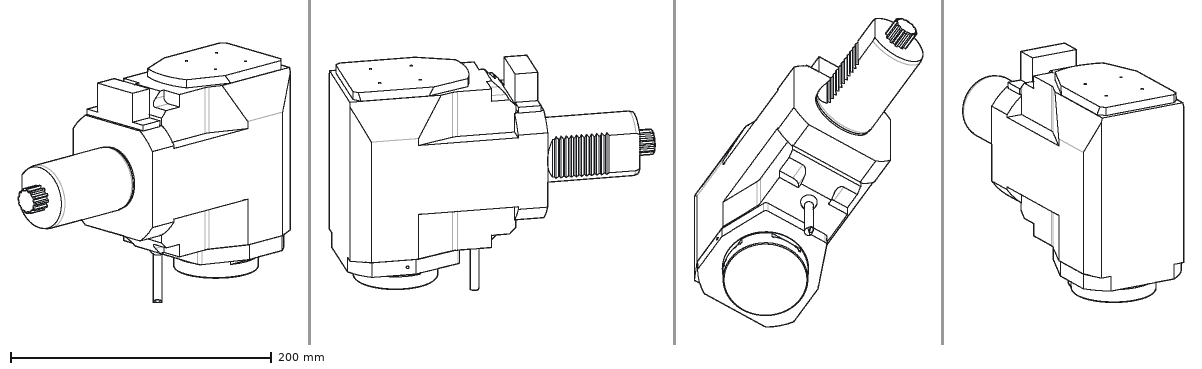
import cadquery as cq
import math


OVERLAP = 1.0

HALF_WIDTH = 44.0
BODY_BACK = 154.25
BODY_HALF_HEIGHT = 65.0
BACK_CHAMFER_X = 7.2
BACK_CHAMFER_Y = 15.2

FLANK_START_Z = 34.0
FLANK_TOP_Z = 71.5
FLANK_TOP_X = 34.2

FLANGE_THICKNESS = 22.3
FLANGE_ROUND_RADIUS = 53.5

RELIEF_X = 31.0
RELIEF_Z = 28.3
RELIEF_CORNER_Y = 70.4
RELIEF_CORNER_RADIUS = 10.0
TAPER_ANGLE = math.radians(22.5)

BEVEL = 15.0
NOTCH_X = 13.7
NOTCH_Z = 55.0
NOTCH_BACK = 41.4
NOTCH_RADIUS = 5.0

PLATE_TOP_Z = FLANK_TOP_Z
PLATE_BACK = 150.5
PLATE_SIDE_INSET = 0.4
PLATE_CORNER = 3.5
PLATE_FRONT_RADIUS = 56.5
PLATE_FRONT_X = 21.6
PLATE_HOLE_DIAMETER = 1.7
PLATE_HOLE_PITCH = 32.0
SMALL_HOLE_DEPTH = 5.0

KEY_FRONT = 2.4
KEY_LENGTH = 18.0
KEY_BASE_X = 31.0
KEY_BASE_Z = 48.3
KEY_X = 19.6

SPINDLE_Y = BODY_BACK - HALF_WIDTH
COVER_BOTTOM_Z = -77.0
COVER_FRONT = 65.6
COVER_HALF_WIDTH = 43.8
COVER_TAPER_START = 103.75
COVER_BACK_RADIUS = 52.2
COVER_CORNER_RADIUS = 3.0
COVER_HOLE_DIAMETER = 2.1
COVER_HOLE_Z = (COVER_BOTTOM_Z - BODY_HALF_HEIGHT) / 2
SEAL_DIAMETER = 66.5
SEAL_BOTTOM_Z = -77.6
COLLAR_DIAMETER = 65.3
COLLAR_BOTTOM_Z = -93.3
COLLAR_CHAMFER = 0.8
COLLAR_FLAT_DISTANCE = 29.9
COLLAR_FLAT_BOTTOM_Z = -82.6

TUBE_Y = 47.9
TUBE_DIAMETER = 7.0
TUBE_END_Z = -109.5
BALL_RADIUS = 6.37
TIP_BEVEL_TILT = 45.0
NOZZLE_DIAMETER = 4.0
NOZZLE_DEPTH = 3.0

SHANK_DIAMETER = 50.0
SHANK_LENGTH = 78.0
NECK_DIAMETER = 48.7
NECK_LENGTH = 1.6
LEAD_DIAMETER = 49.2
LEAD_END = 3.6
END_CHAMFER_LENGTH = 3.0
END_CHAMFER_DEPTH = 0.8
RACK_FLAT_X = 19.75
RACK_FLAT_START = 9.2
RACK_FIRST_GROOVE = 12.2
RACK_PITCH = 4.0
RACK_GROOVES = 11
RACK_GROOVE_DEPTH = 1.5

SPLINE_END = 92.5
SPLINE_DIAMETER = 20.0
SPLINE_ROOT_DIAMETER = 16.5
SPLINE_TEETH = 12
SPLINE_PHASE = math.radians(-3.0)
SPLINE_TIP_SHARE = 0.3
SPLINE_FLANK_SHARE = 0.15
SPLINE_CHAMFER = 1.2


def block(x0, x1, y0, y1, z0, z1):
    """Axis-aligned box between two opposite corners."""
    return cq.Workplane("XY").box(x1 - x0, y1 - y0, z1 - z0, centered=False).translate((x0, y0, z0))


def both_sides(shape):
    """The shape together with its mirror image across the YZ plane."""
    return shape.union(shape.mirror("YZ"))


def cylinder_z(diameter, y, z0, z1):
    return cq.Workplane("XY", origin=(0, y, z0)).circle(diameter / 2).extrude(z1 - z0)


def make_flange():
    square = block(-HALF_WIDTH, HALF_WIDTH, 0, FLANGE_THICKNESS + OVERLAP, -HALF_WIDTH, HALF_WIDTH)
    disc = cq.Workplane("XZ").circle(FLANGE_ROUND_RADIUS).extrude(-FLANGE_THICKNESS - OVERLAP)
    return square.intersect(disc)


def make_relief_pocket():
    """Upper pocket on the +X side, narrowing the body towards the flange."""
    outer_x = HALF_WIDTH + OVERLAP
    start_y = RELIEF_CORNER_Y + (outer_x - RELIEF_X) / math.tan(TAPER_ANGLE)
    front_y = FLANGE_THICKNESS
    return (
        cq.Workplane("XY", origin=(0, 0, RELIEF_Z))
        .moveTo(RELIEF_X, front_y)
        .lineTo(RELIEF_X, RELIEF_CORNER_Y)
        .lineTo(outer_x, start_y)
        .lineTo(outer_x, front_y)
        .close()
        .extrude(BODY_HALF_HEIGHT)
        .edges(cq.selectors.NearestToPointSelector((RELIEF_X, RELIEF_CORNER_Y, BODY_HALF_HEIGHT)))
        .fillet(RELIEF_CORNER_RADIUS)
    )


def make_front_bevel():
    """Wedge removed from the upper front edge of the body."""
    return (
        cq.Workplane("YZ", origin=(-HALF_WIDTH, 0, 0))
        .moveTo(FLANGE_THICKNESS, BODY_HALF_HEIGHT - BEVEL)
        .lineTo(FLANGE_THICKNESS + BEVEL, BODY_HALF_HEIGHT)
        .lineTo(FLANGE_THICKNESS, BODY_HALF_HEIGHT)
        .close()
        .extrude(2 * HALF_WIDTH)
    )


def make_notch():
    """Upper notch on the +X side of the bevel, rounded along its inner corner."""
    notch = block(NOTCH_X, HALF_WIDTH, FLANGE_THICKNESS, NOTCH_BACK, NOTCH_Z, BODY_HALF_HEIGHT + OVERLAP)
    middle_y = (FLANGE_THICKNESS + NOTCH_BACK) / 2
    inner_corner = cq.selectors.NearestToPointSelector((NOTCH_X, middle_y, NOTCH_Z))
    return notch.edges(inner_corner).fillet(NOTCH_RADIUS)


def make_body():
    back_x = HALF_WIDTH - BACK_CHAMFER_X
    chamfer_y = BODY_BACK - BACK_CHAMFER_Y
    body = (
        cq.Workplane("XY", origin=(0, 0, -BODY_HALF_HEIGHT))
        .moveTo(-HALF_WIDTH, FLANGE_THICKNESS)
        .lineTo(HALF_WIDTH, FLANGE_THICKNESS)
        .lineTo(HALF_WIDTH, chamfer_y)
        .lineTo(back_x, BODY_BACK)
        .lineTo(-back_x, BODY_BACK)
        .lineTo(-HALF_WIDTH, chamfer_y)
        .close()
        .extrude(2 * BODY_HALF_HEIGHT)
    )
    upper_cuts = [both_sides(make_relief_pocket()), make_front_bevel(), both_sides(make_notch())]
    for cut in upper_cuts:
        body = body.cut(cut).cut(cut.mirror("XY"))
    return body


def make_flank_cut(inset=0.0):
    """Material outside the inclined upper flanks, which may be moved inwards by an inset."""
    slope = (HALF_WIDTH - FLANK_TOP_X) / (FLANK_TOP_Z - FLANK_START_Z)
    cut_top_z = FLANK_TOP_Z + OVERLAP
    right_side = (
        cq.Workplane("XZ")
        .moveTo(HALF_WIDTH, FLANK_START_Z)
        .lineTo(FLANK_TOP_X - slope * OVERLAP, cut_top_z)
        .lineTo(HALF_WIDTH + OVERLAP, cut_top_z)
        .lineTo(HALF_WIDTH + OVERLAP, FLANK_START_Z)
        .close()
        .extrude(-BODY_BACK - OVERLAP)
        .translate((-inset, FLANGE_THICKNESS, 0))
    )
    return both_sides(right_side)


def make_plate_holes():
    return (
        cq.Workplane("XY", origin=(0, SPINDLE_Y, PLATE_TOP_Z))
        .rect(PLATE_HOLE_PITCH, PLATE_HOLE_PITCH, forConstruction=True)
        .vertices()
        .circle(PLATE_HOLE_DIAMETER / 2)
        .extrude(-SMALL_HOLE_DEPTH)
    )


def make_top_plate():
    """Raised plate whose front edge is an arc about the spindle axis."""
    front_y = SPINDLE_Y - math.sqrt(PLATE_FRONT_RADIUS**2 - PLATE_FRONT_X**2)
    side_y = front_y + (HALF_WIDTH - PLATE_FRONT_X) / math.tan(TAPER_ANGLE)
    corner_x = FLANK_TOP_X - PLATE_SIDE_INSET - PLATE_CORNER
    corner_reach = HALF_WIDTH - corner_x
    thickness = PLATE_TOP_Z - BODY_HALF_HEIGHT
    plate = (
        cq.Workplane("XY", origin=(0, 0, BODY_HALF_HEIGHT))
        .moveTo(-PLATE_FRONT_X, front_y)
        .threePointArc((0, SPINDLE_Y - PLATE_FRONT_RADIUS), (PLATE_FRONT_X, front_y))
        .lineTo(HALF_WIDTH, side_y)
        .lineTo(HALF_WIDTH, PLATE_BACK - corner_reach)
        .lineTo(corner_x, PLATE_BACK)
        .lineTo(-corner_x, PLATE_BACK)
        .lineTo(-HALF_WIDTH, PLATE_BACK - corner_reach)
        .lineTo(-HALF_WIDTH, side_y)
        .close()
        .extrude(thickness)
    )
    return plate.cut(make_flank_cut(PLATE_SIDE_INSET)).cut(make_plate_holes())


def make_key():
    key_back = KEY_FRONT + KEY_LENGTH
    base = block(-KEY_BASE_X, KEY_BASE_X, KEY_FRONT, key_back, HALF_WIDTH - OVERLAP, KEY_BASE_Z)
    upright = block(-KEY_X, KEY_X, KEY_FRONT, key_back, HALF_WIDTH - OVERLAP, PLATE_TOP_Z)
    return base.union(upright)


def make_cover():
    """Lower cover plate, tapered in front and rounded about the spindle at the back."""
    front_x = COVER_HALF_WIDTH - (COVER_TAPER_START - COVER_FRONT) * math.tan(TAPER_ANGLE)
    thickness = -BODY_HALF_HEIGHT - COVER_BOTTOM_Z
    cover = (
        cq.Workplane("XY", origin=(0, 0, COVER_BOTTOM_Z))
        .moveTo(-front_x, COVER_FRONT)
        .lineTo(front_x, COVER_FRONT)
        .lineTo(COVER_HALF_WIDTH, COVER_TAPER_START)
        .lineTo(COVER_HALF_WIDTH, BODY_BACK)
        .lineTo(-COVER_HALF_WIDTH, BODY_BACK)
        .lineTo(-COVER_HALF_WIDTH, COVER_TAPER_START)
        .close()
        .extrude(thickness)
        .edges("|Z and <Y")
        .fillet(COVER_CORNER_RADIUS)
    )
    rounding = cylinder_z(2 * COVER_BACK_RADIUS, SPINDLE_Y, COVER_BOTTOM_Z, -BODY_HALF_HEIGHT)
    hole = (
        cq.Workplane("YZ", origin=(-COVER_HALF_WIDTH, SPINDLE_Y, COVER_HOLE_Z))
        .circle(COVER_HOLE_DIAMETER / 2)
        .extrude(SMALL_HOLE_DEPTH)
    )
    return cover.intersect(rounding).cut(hole)


def make_spindle_collar():
    """Round collar with four wrench flats below a thin seal ring."""
    seal = cylinder_z(SEAL_DIAMETER, SPINDLE_Y, SEAL_BOTTOM_Z, COVER_BOTTOM_Z)
    collar = cylinder_z(COLLAR_DIAMETER, SPINDLE_Y, COLLAR_BOTTOM_Z, SEAL_BOTTOM_Z)
    collar = collar.faces("<Z").edges().chamfer(COLLAR_CHAMFER)
    flat_height = SEAL_BOTTOM_Z - COLLAR_FLAT_BOTTOM_Z
    outside_flats = (
        cq.Workplane("XY", origin=(0, SPINDLE_Y, COLLAR_FLAT_BOTTOM_Z))
        .rect(2 * COLLAR_DIAMETER, 2 * COLLAR_DIAMETER)
        .rect(2 * COLLAR_FLAT_DISTANCE, 2 * COLLAR_FLAT_DISTANCE)
        .extrude(flat_height)
    )
    return collar.cut(outside_flats).union(seal)


def make_coolant_tube():
    """Tube hanging from a half ball. A bevel at its tip starts at the axis and holds a nozzle hole."""
    ball = cq.Workplane("XY", origin=(0, TUBE_Y, -BODY_HALF_HEIGHT)).sphere(BALL_RADIUS)
    tube = cylinder_z(TUBE_DIAMETER, TUBE_Y, TUBE_END_Z, -BODY_HALF_HEIGHT)
    tilt = math.radians(TIP_BEVEL_TILT)
    middle = TUBE_DIAMETER / 4
    middle_rise = middle * math.tan(tilt)
    middle_shift = middle / math.sqrt(2)
    normal_side = math.sin(tilt) / math.sqrt(2)
    bevel_plane = cq.Plane(
        origin=(middle_shift, TUBE_Y - middle_shift, TUBE_END_Z + middle_rise),
        normal=(normal_side, -normal_side, -math.cos(tilt)),
    )
    beyond_bevel = cq.Workplane(bevel_plane).circle(TUBE_DIAMETER).extrude(TUBE_DIAMETER)
    nozzle = cq.Workplane(bevel_plane).circle(NOZZLE_DIAMETER / 2).extrude(-NOZZLE_DEPTH)
    return ball.union(tube.cut(beyond_bevel).cut(nozzle))


def make_shank():
    """Turned shank, drawn as radius against distance along -Y and revolved."""
    radius = SHANK_DIAMETER / 2
    profile = [
        (0, OVERLAP),
        (NECK_DIAMETER / 2, OVERLAP),
        (NECK_DIAMETER / 2, -NECK_LENGTH),
        (LEAD_DIAMETER / 2, -NECK_LENGTH),
        (radius, -LEAD_END),
        (radius, END_CHAMFER_LENGTH - SHANK_LENGTH),
        (radius - END_CHAMFER_DEPTH, -SHANK_LENGTH),
        (0, -SHANK_LENGTH),
    ]
    return cq.Workplane("XY").polyline(profile).close().revolve(360, (0, 0, 0), (0, 1, 0))


def make_rack_cut():
    """Flat on the -X side of the shank, with a 45 degree run-in and V grooves."""
    outer_x = SHANK_DIAMETER / 2 + OVERLAP
    run_in = outer_x - RACK_FLAT_X
    cutter = cq.Workplane("XY", origin=(0, 0, -SHANK_DIAMETER / 2))
    rack = (
        cutter.moveTo(-RACK_FLAT_X, -SHANK_LENGTH - OVERLAP)
        .lineTo(-RACK_FLAT_X, -RACK_FLAT_START)
        .lineTo(-outer_x, -RACK_FLAT_START + run_in)
        .lineTo(-outer_x, -SHANK_LENGTH - OVERLAP)
        .close()
        .extrude(SHANK_DIAMETER)
    )
    for index in range(RACK_GROOVES):
        root_y = -RACK_FIRST_GROOVE - index * RACK_PITCH
        groove = (
            cutter.moveTo(-RACK_FLAT_X + RACK_GROOVE_DEPTH, root_y)
            .lineTo(-RACK_FLAT_X, root_y + RACK_GROOVE_DEPTH)
            .lineTo(-outer_x, root_y + RACK_GROOVE_DEPTH)
            .lineTo(-outer_x, root_y - RACK_GROOVE_DEPTH)
            .lineTo(-RACK_FLAT_X, root_y - RACK_GROOVE_DEPTH)
            .close()
            .extrude(SHANK_DIAMETER)
        )
        rack = rack.union(groove)
    return rack


def make_spline_shaft():
    """Toothed drive shaft with a chamfered end."""
    pitch = 2 * math.pi / SPLINE_TEETH
    half_tip = SPLINE_TIP_SHARE * pitch / 2
    half_base = half_tip + SPLINE_FLANK_SHARE * pitch
    root = SPLINE_ROOT_DIAMETER / 2
    tip = SPLINE_DIAMETER / 2
    points = []
    for tooth in range(SPLINE_TEETH):
        middle = SPLINE_PHASE + tooth * pitch
        corners = [(root, -half_base), (tip, -half_tip), (tip, half_tip), (root, half_base)]
        for radius, offset in corners:
            points.append((radius * math.cos(middle + offset), radius * math.sin(middle + offset)))
    start_y = OVERLAP - SHANK_LENGTH
    length = SPLINE_END - SHANK_LENGTH + OVERLAP
    toothed = cq.Workplane("XZ", origin=(0, start_y, 0)).polyline(points).close().extrude(length)
    envelope = cq.Workplane("XZ", origin=(0, start_y, 0)).circle(tip).extrude(length)
    envelope = envelope.faces("<Y").edges().chamfer(SPLINE_CHAMFER)
    return toothed.intersect(envelope)


housing = make_body().cut(make_flank_cut()).union(make_top_plate())
front_end = make_flange().union(make_key()).union(make_shank().cut(make_rack_cut())).union(make_spline_shaft())
spindle_side = make_cover().union(make_spindle_collar())

result = housing.union(front_end).union(spindle_side).union(make_coolant_tube())